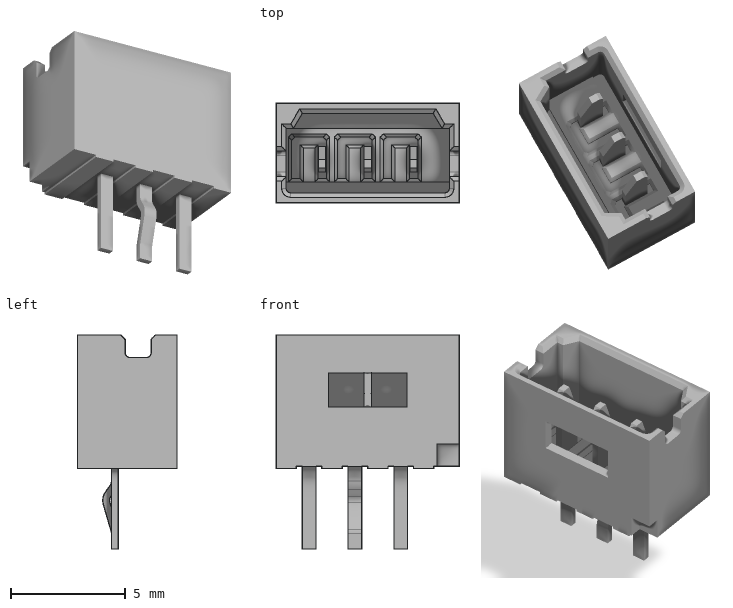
import cadquery as cq
import math

width = 8.0
depth = 4.35
total_height = 9.35
housing_height = 5.84
pitch = 2.0
contact_rows = (-1, 0, 1)
pin_offset = -0.56

edge_chamfer = 0.2

cavity_half_width = 3.56
cavity_front = -1.74
key_shoulder = 1.075
key_back = 1.73
key_mouth_half_width = 3.24
key_back_half_width = 2.86
cavity_corner_radius = 0.2
platform_top = -4.245
platform_front = -1.26

pocket_depth = 0.25
pocket_chamfer = 0.14
pocket_half_width = 0.76
pocket_back = 0.69
pocket_corner = 0.14
blade_half_width = 0.39
blade_back = 0.355

contact_width = 0.31
contact_back = 0.28
contact_front = -0.83
contact_top = -0.99
tip_back = -0.29
tip_front = -0.66
tip_bevel_height = 0.24
shoulder_z = -2.56

pin_width = 0.61
pin_thickness = 0.31
pin_front = 0.38

kink_start = 0.74
kink_peak = 1.33
kink_end = 2.74
kink_reach = 0.41

notch_back = 0.08
notch_front = -1.04
notch_depth = 0.98
notch_fillet = 0.2
window_width = 3.42
window_top = -1.655
window_bottom = -3.14
foot_height = 0.1
foot_gap = 1.1
corner_width = 0.98
corner_depth = 0.57
corner_top = -4.76

tolerance = 0.001

half_w = width / 2
half_d = depth / 2
cavity_floor = platform_top - pocket_depth
feet_z = -housing_height
pin_tip_z = -total_height
pin_root_z = feet_z + foot_height


def box(x0, x1, y0, y1, z0, z1):
    return cq.Workplane("XY").box(x1 - x0, y1 - y0, z1 - z0, centered=False).translate((x0, y0, z0))


def mirrored_wire(right, z):
    """Closed outline at height z, from the right-hand half of a shape symmetric about X = 0."""
    left = [(-x, y) for x, y in reversed(right)]
    return cq.Workplane("XY", origin=(0, 0, z)).polyline(right + left).close()


def shell():
    """Outer block with the keyed cavity and its 45 degree lead-in."""
    hollow = mirrored_wire([
        (cavity_half_width, cavity_front),
        (cavity_half_width, key_shoulder),
        (key_mouth_half_width, key_shoulder),
        (key_back_half_width, key_back),
    ], cavity_floor).extrude(-cavity_floor)
    hollow = hollow.faces("<Y").edges("|Z").fillet(cavity_corner_radius)
    block = box(-half_w, half_w, -half_d, half_d, feet_z, 0).cut(hollow)
    mouth = cq.selectors.BoxSelector(
        (-half_w + tolerance, -half_d + tolerance, -tolerance),
        (half_w - tolerance, half_d - tolerance, tolerance),
    )
    return block.edges(mouth).chamfer(edge_chamfer)


def pocket_outline(growth, z):
    """Outline of the U-shaped pocket at height z, its walls moved outwards by growth."""
    side = pocket_half_width + growth
    back = pocket_back + growth
    front = platform_front + pocket_chamfer - growth
    blade_side = blade_half_width - growth
    return mirrored_wire([
        (blade_side, blade_back - growth),
        (blade_side, front),
        (side, front),
        (side, back - pocket_corner),
        (side - pocket_corner, back),
    ], z)


def pocket():
    """Pocket around one blade, centred on X = 0, its rim chamfer running out at the front."""
    chamfer_z = platform_top - pocket_chamfer
    straight = pocket_outline(0, cavity_floor).extrude(chamfer_z - cavity_floor)
    sections = [
        pocket_outline(0, chamfer_z).val(),
        pocket_outline(pocket_chamfer, platform_top).val(),
    ]
    return straight.union(cq.Workplane(cq.Solid.makeLoft(sections, True)))


def platform():
    """Raised part of the cavity floor, with a pocket for every contact."""
    block = box(-cavity_half_width, cavity_half_width, platform_front, key_shoulder,
                cavity_floor, platform_top)
    for row in contact_rows:
        block = block.cut(pocket().translate((row * pitch + pin_offset, 0, 0)))
    return block


def side_notch():
    """Notch through both side walls, rounded below and flared at the rim."""
    slot = (
        box(-half_w, half_w, notch_front, notch_back, -notch_depth, 0)
        .faces("<Z").edges("|X").fillet(notch_fillet)
    )
    flare = (
        cq.Workplane("YZ", origin=(-half_w, 0, 0))
        .polyline([
            (notch_front, -edge_chamfer),
            (notch_back, -edge_chamfer),
            (notch_back + edge_chamfer, 0),
            (notch_front - edge_chamfer, 0),
        ]).close().extrude(width)
    )
    return slot.union(flare)


def foot_gap_cutter(x0, x1):
    return box(x0, x1, -half_d, half_d, feet_z, feet_z + foot_height)


def housing():
    body = shell().union(platform()).cut(side_notch())
    window = box(-window_width / 2, window_width / 2, -half_d, cavity_front,
                 window_bottom, window_top)
    corner = box(half_w - corner_width, half_w, -half_d, -half_d + corner_depth,
                 feet_z, corner_top)
    body = body.cut(window).cut(corner)
    for row in contact_rows:
        centre = row * pitch + pin_offset
        body = body.cut(foot_gap_cutter(centre - foot_gap / 2, centre + foot_gap / 2))
    end_start = (contact_rows[-1] + 1) * pitch + pin_offset - foot_gap / 2
    return body.cut(foot_gap_cutter(end_start, half_w))


def contact(x):
    """Upright contact with a sloping back and a bevelled front tip."""
    return (
        cq.Workplane("YZ", origin=(x - contact_width / 2, 0, 0))
        .polyline([
            (contact_front, cavity_floor),
            (contact_back, cavity_floor),
            (contact_back, shoulder_z),
            (tip_back, contact_top),
            (tip_front, contact_top),
            (contact_front, contact_top - tip_bevel_height),
        ]).close().extrude(contact_width)
    )


def straight_pin(x):
    return box(x - pin_width / 2, x + pin_width / 2, pin_front, pin_front + pin_thickness,
               pin_tip_z, pin_root_z)


def kinked_pin(x):
    """Pin bent backwards by a constant-thickness kink with rounded bends."""
    start_z = feet_z - kink_start
    peak_z = feet_z - kink_peak
    end_z = feet_z - kink_end
    upper_angle = math.atan2(kink_reach, kink_peak - kink_start)
    lower_angle = math.atan2(kink_reach, kink_end - kink_peak)
    start_shift = pin_thickness * math.tan(upper_angle / 2)
    end_shift = pin_thickness * math.tan(lower_angle / 2)
    upper_slope = math.tan(upper_angle)
    lower_slope = math.tan(lower_angle)
    upper_back = pin_thickness / math.cos(upper_angle)
    lower_back = pin_thickness / math.cos(lower_angle)
    peak_shift = (upper_back - lower_back) / (upper_slope + lower_slope)
    peak_thickness = upper_back - peak_shift * upper_slope
    back = pin_front + pin_thickness
    peak = pin_front + kink_reach
    inner_radius = pin_thickness
    outer_radius = inner_radius + pin_thickness
    pin = (
        cq.Workplane("YZ", origin=(x - pin_width / 2, 0, 0))
        .polyline([
            (pin_front, pin_root_z),
            (pin_front, start_z),
            (peak, peak_z),
            (pin_front, end_z),
            (pin_front, pin_tip_z),
            (back, pin_tip_z),
            (back, end_z - end_shift),
            (peak + peak_thickness, peak_z + peak_shift),
            (back, start_z + start_shift),
            (back, pin_root_z),
        ]).close().extrude(pin_width)
    )
    front_at_ends = [(pin_front, start_z), (pin_front, end_z)]
    back_at_ends = [(back, start_z + start_shift), (back, end_z - end_shift)]
    outer_bends = front_at_ends + [(peak + peak_thickness, peak_z + peak_shift)]
    inner_bends = back_at_ends + [(peak, peak_z)]
    for radius, bends in ((outer_radius, outer_bends), (inner_radius, inner_bends)):
        for y, z in bends:
            pin = pin.edges(cq.selectors.NearestToPointSelector((x, y, z))).fillet(radius)
    return pin


result = housing()
for row in contact_rows:
    result = result.union(contact(row * pitch))
    pin_x = row * pitch + pin_offset
    result = result.union(kinked_pin(pin_x) if row == 0 else straight_pin(pin_x))